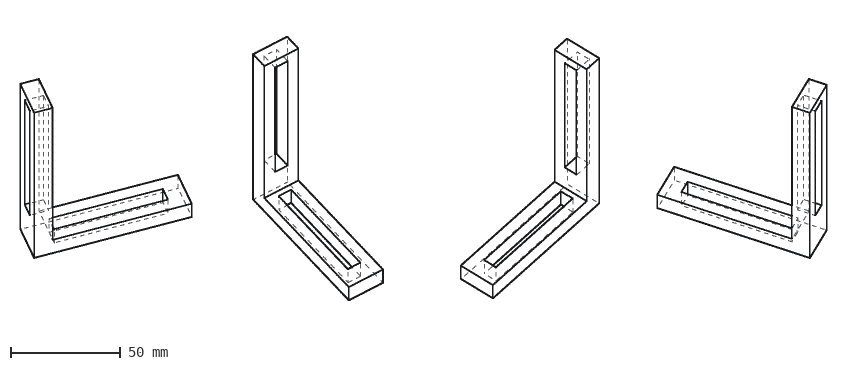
import cadquery as cq

width = 19.0
depth = 76.2
height = 97.9
thickness = 9.0

slot_width = 6.95
upright_slot_length = 70.3
upright_slot_top_margin = 4.8
base_slot_length = 55.0
base_slot_end_margin = 9.4


def corner_box(size_x, size_y, size_z):
    """Box centred on X, starting at Y = 0 and Z = 0."""
    return cq.Workplane("XY").box(size_x, size_y, size_z, centered=(True, False, False))


base = corner_box(width, depth, thickness)
upright = corner_box(width, thickness, height)

upright_slot_bottom = height - upright_slot_top_margin - upright_slot_length
upright_slot = corner_box(slot_width, thickness, upright_slot_length).translate(
    (0, 0, upright_slot_bottom)
)

base_slot_start = depth - base_slot_end_margin - base_slot_length
base_slot = corner_box(slot_width, base_slot_length, thickness).translate(
    (0, base_slot_start, 0)
)

result = base.union(upright).cut(upright_slot).cut(base_slot)